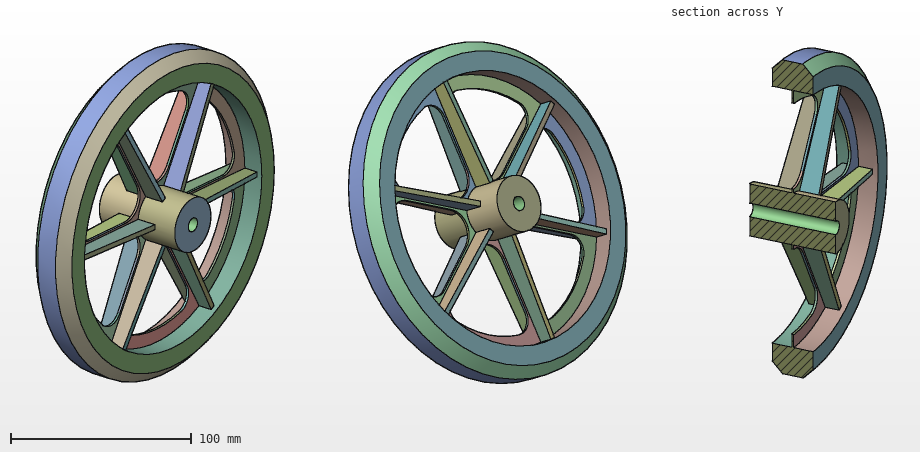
import cadquery as cq
import math

wheel_diameter = 190.5
hub_length = 54.0

rim_width = 25.7
rim_chamfer = 6.5
rim_inner_diameter = 155.5

hub_diameter = 31.8
bore_diameter = 8.0

spoke_count = 6
web_thickness = 1.5
web_spoke_width = 5.5
window_outer_radius = 70.0
window_inner_fillet = 12.8
window_outer_fillet = 9.5

rib_width = 3.0
rib_depth_at_hub = 25.5
rib_depth_at_rim = 18.9

spoke_pitch = 360.0 / spoke_count


def disc(diameter, length):
    """Cylinder about the X axis, centred on X = 0."""
    return cq.Workplane("YZ", origin=(-length / 2, 0, 0)).circle(diameter / 2).extrude(length)


def turn(body, index):
    """Body turned about the wheel axis by a number of spoke pitches."""
    return body.rotate((0, 0, 0), (1, 0, 0), index * spoke_pitch)


def polar(radius, angle):
    """Y and Z of a point at a radius and an angle from +Y."""
    return radius * math.cos(angle), radius * math.sin(angle)


def make_rim():
    rim = disc(wheel_diameter, rim_width).edges().chamfer(rim_chamfer)
    return rim.cut(disc(rim_inner_diameter, rim_width))


def make_window():
    """Rounded sector between the spoke along +Y and the next one."""
    half_angle = math.radians(spoke_pitch / 2)
    edge_offset = web_spoke_width / 2
    apex = polar(edge_offset / math.sin(half_angle), half_angle)
    start_angle = math.asin(edge_offset / window_outer_radius)
    end_angle = 2 * half_angle - start_angle
    arc_start = polar(window_outer_radius, start_angle)
    arc_middle = polar(window_outer_radius, half_angle)
    arc_end = polar(window_outer_radius, end_angle)

    window = (
        cq.Workplane("YZ", origin=(-web_thickness / 2, 0, 0))
        .moveTo(*apex)
        .lineTo(*arc_start)
        .threePointArc(arc_middle, arc_end)
        .close()
        .extrude(web_thickness)
    )
    fillets = [
        (apex, window_inner_fillet),
        (arc_start, window_outer_fillet),
        (arc_end, window_outer_fillet),
    ]
    for corner, radius in fillets:
        nearest = cq.selectors.NearestToPointSelector((0, *corner))
        window = window.edges("|X").edges(nearest).fillet(radius)
    return window


def make_web():
    web = disc(rim_inner_diameter, web_thickness)
    window = make_window()
    for index in range(spoke_count):
        web = web.cut(turn(window, index))
    return web


def make_rib():
    """Rib along +Y, tapering in depth from the hub surface out to the rim."""
    hub_radius = hub_diameter / 2
    rim_inner_radius = rim_inner_diameter / 2
    outline = [
        (-rib_depth_at_hub / 2, 0),
        (-rib_depth_at_hub / 2, hub_radius),
        (-rib_depth_at_rim / 2, rim_inner_radius),
        (rib_depth_at_rim / 2, rim_inner_radius),
        (rib_depth_at_hub / 2, hub_radius),
        (rib_depth_at_hub / 2, 0),
    ]
    side = cq.Workplane("XY", origin=(0, 0, -rib_width / 2)).polyline(outline).close()
    return side.extrude(rib_width)


wheel = make_rim().union(make_web()).union(disc(hub_diameter, hub_length))
rib = make_rib()
for rib_index in range(spoke_count):
    wheel = wheel.union(turn(rib, rib_index))

result = wheel.cut(disc(bore_diameter, hub_length))